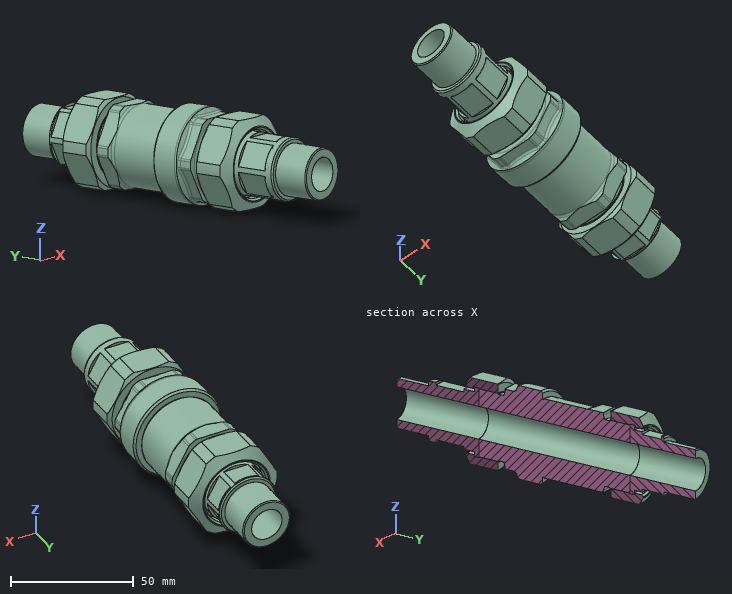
import cadquery as cq
import math


LENGTH = 146.5
END = LENGTH / 2
BORE_D = 14.0

TAIL_D = 22.0
TAIL_END_D = 21.0
TAIL_END_CHAMFER = 0.5
TAIL_LENGTH = 15.5
SHANK_D = 26.5
SHANK_AF = 24.0
SHANK_FACE_D = 25.0
SHANK_CHAMFER = 0.6
REAR_FLATS = (1.3, 10.7)
FRONT_FLATS = (3.8, 17.5)
FLANGE_T = 2.2

NUT_D = 41.3
NUT_AF = 38.0
NUT_LENGTH = 16.1
NUT_FACE_D = 31.4
NUT_FACE_TAPER = 3.1
NUT_BACK_D = 37.5
NUT_BACK_TAPER = 1.0
NUT_HOLE_D = 28.5
NUT_MOUTH_D = 30.3
NUT_LIP = 4.4
REAR_NUT_FACE = END - 25.6
FRONT_NUT_FACE = END - 33.7

THREAD_D = 30.0
THREAD_EXPOSED = 0.3
NECK_D = 29.3
HEX_D = 38.4
HEX_AF = 35.0
HEX_EDGE_R = 2.0
FACE_CONE_D = 33.1
FACE_CONE_LENGTH = 0.6
REAR_HEX_FACE = 28.1
FRONT_HEX_FACE = -20.2
REAR_HEX_TAPER_START = 22.4
REAR_HEX_TAPER_END = 21.5
REAR_HEX_TAPER_D = 36.0
REAR_HEX_END = 20.4
BARREL_D = 34.9
BARREL_CHAMFER_WIDTH = 0.5
BARREL_CHAMFER_LENGTH = 0.7
COLLAR_BACK = -1.6
COLLAR_FRONT = -13.8
COLLAR_D = 41.0
COLLAR_CROWN = 0.1
COLLAR_EDGE = 0.9
COLLAR_FRONT_D = 40.7
COLLAR_TAPER_D = 33.7
COLLAR_TAPER_END = -15.5
COLLAR_ROOT_R = 1.2
ROOT_CLEARANCE = 0.1


def turned(points):
    """Solid of revolution about Y from (diameter, station) points, closed on the axis."""
    first_station = points[0][1]
    last_station = points[-1][1]
    profile = cq.Workplane("XY").moveTo(0, first_station)
    for diameter, station in points:
        profile = profile.lineTo(diameter / 2, station)
    return profile.lineTo(0, last_station).close().revolve(360, (0, 0, 0), (0, 1, 0))


def cylinder(diameter, start, end):
    """Round bar along Y."""
    return turned([(diameter, start), (diameter, end)])


def hexagon(across_flats, start, end):
    """Hexagonal bar along Y with flats facing +Z and -Z."""
    corner_d = across_flats / math.cos(math.pi / 6)
    low = min(start, end)
    plane = cq.Plane(origin=(0, low, 0), xDir=(1, 0, 0), normal=(0, 1, 0))
    return cq.Workplane(plane).polygon(6, corner_d).extrude(abs(end - start))


def facing_front(body):
    """Turn a body made for the +Y end round to the -Y end."""
    return body.rotate((0, 0, 0), (0, 0, 1), 180)


def union_nut(face):
    """Union nut at the +Y end with its outer face at the given station."""
    back = face - NUT_LENGTH
    blank = turned([
        (NUT_BACK_D, back),
        (NUT_D, back + NUT_BACK_TAPER),
        (NUT_D, face - NUT_FACE_TAPER),
        (NUT_FACE_D, face),
    ])
    mouth_depth = (NUT_MOUTH_D - NUT_HOLE_D) / 2
    hole = turned([
        (THREAD_D, back),
        (THREAD_D, face - NUT_LIP),
        (NUT_HOLE_D, face - NUT_LIP),
        (NUT_HOLE_D, face - mouth_depth),
        (NUT_MOUTH_D, face),
    ])
    return blank.intersect(hexagon(NUT_AF, back, face)).cut(hole)


def tail_piece(nut_face, flats):
    """Tail piece at the +Y end, held behind the lip of the nut at the given station."""
    shank_face = END - TAIL_LENGTH
    flange_front = nut_face - NUT_LIP
    flange_back = flange_front - FLANGE_T
    body = turned([
        (THREAD_D, flange_back),
        (THREAD_D, flange_front),
        (SHANK_D, flange_front),
        (SHANK_D, shank_face - SHANK_CHAMFER),
        (SHANK_FACE_D, shank_face),
        (TAIL_D, shank_face),
        (TAIL_D, END - TAIL_END_CHAMFER),
        (TAIL_END_D, END),
    ])
    flats_start, flats_end = (shank_face - offset for offset in flats)
    ring = cylinder(SHANK_D, flats_end, flats_start)
    body = body.cut(ring.cut(hexagon(SHANK_AF, flats_end, flats_start)))
    return body.cut(cylinder(BORE_D, flange_back, END))


def wrench_hex(start, end):
    """Hexagonal bar with turned corners and rounded edges beside each flat."""
    bar = hexagon(HEX_AF, start, end).intersect(cylinder(HEX_D, start, end))
    return bar.edges("|Y").fillet(HEX_EDGE_R)


def collar():
    """Crowned collar with chamfered edges that tapers into the front hexagon."""
    edge_d = COLLAR_D - 2 * COLLAR_EDGE
    middle = (COLLAR_BACK + COLLAR_FRONT) / 2
    return (
        cq.Workplane("XY")
        .moveTo(0, COLLAR_BACK)
        .lineTo(edge_d / 2, COLLAR_BACK)
        .lineTo(COLLAR_D / 2, COLLAR_BACK - COLLAR_EDGE)
        .threePointArc((COLLAR_D / 2 + COLLAR_CROWN, middle), (COLLAR_D / 2, COLLAR_FRONT + COLLAR_EDGE))
        .lineTo(COLLAR_FRONT_D / 2, COLLAR_FRONT)
        .lineTo(COLLAR_TAPER_D / 2, COLLAR_TAPER_END)
        .lineTo(0, COLLAR_TAPER_END)
        .close()
        .revolve(360, (0, 0, 0), (0, 1, 0))
    )


def collar_with_hex():
    """Collar and front hexagon, with a fillet all round where they meet."""
    joined = collar().union(wrench_hex(FRONT_HEX_FACE, COLLAR_FRONT))
    reach = COLLAR_D
    root = cq.selectors.BoxSelector(
        (-reach, COLLAR_TAPER_END, -reach),
        (reach, COLLAR_FRONT - ROOT_CLEARANCE, reach),
    )
    return joined.edges(root).fillet(COLLAR_ROOT_R)


def rear_hex_envelope():
    """Turned envelope of the rear hexagon, tapering and blending into the barrel."""
    return (
        cq.Workplane("XY")
        .moveTo(0, REAR_HEX_FACE)
        .lineTo(HEX_D / 2, REAR_HEX_FACE)
        .lineTo(HEX_D / 2, REAR_HEX_TAPER_START)
        .lineTo(REAR_HEX_TAPER_D / 2, REAR_HEX_TAPER_END)
        .tangentArcPoint((BARREL_D / 2, REAR_HEX_END), relative=False)
        .lineTo(0, REAR_HEX_END)
        .close()
        .revolve(360, (0, 0, 0), (0, 1, 0))
    )


def housing():
    """Barrel with its collar, two hexagons and threaded necks, bored through."""
    rear_nut_back = REAR_NUT_FACE - NUT_LENGTH
    front_nut_back = NUT_LENGTH - FRONT_NUT_FACE
    rear_end = REAR_NUT_FACE - NUT_LIP - FLANGE_T
    front_end = NUT_LIP + FLANGE_T - FRONT_NUT_FACE
    rear_hex = wrench_hex(REAR_HEX_END, REAR_HEX_FACE).intersect(rear_hex_envelope())
    core = turned([
        (THREAD_D, front_end),
        (THREAD_D, front_nut_back + THREAD_EXPOSED),
        (NECK_D, front_nut_back + THREAD_EXPOSED),
        (NECK_D, FRONT_HEX_FACE - FACE_CONE_LENGTH),
        (FACE_CONE_D, FRONT_HEX_FACE),
        (FACE_CONE_D, COLLAR_BACK),
        (BARREL_D - 2 * BARREL_CHAMFER_WIDTH, COLLAR_BACK),
        (BARREL_D, COLLAR_BACK + BARREL_CHAMFER_LENGTH),
        (BARREL_D, REAR_HEX_END),
        (FACE_CONE_D, REAR_HEX_END),
        (FACE_CONE_D, REAR_HEX_FACE),
        (NECK_D, REAR_HEX_FACE + FACE_CONE_LENGTH),
        (NECK_D, rear_nut_back - THREAD_EXPOSED),
        (THREAD_D, rear_nut_back - THREAD_EXPOSED),
        (THREAD_D, rear_end),
    ])
    body = core.union(rear_hex).union(collar_with_hex())
    return body.cut(cylinder(BORE_D, front_end, rear_end))


valve_housing = housing()
nuts = []
tail_pieces = []
for nut_face, flats, at_front in [
    (REAR_NUT_FACE, REAR_FLATS, False),
    (FRONT_NUT_FACE, FRONT_FLATS, True),
]:
    nut = union_nut(nut_face)
    tail = tail_piece(nut_face, flats)
    if at_front:
        nut = facing_front(nut)
        tail = facing_front(tail)
    nuts.append(nut.val())
    tail_pieces.append(tail.val())

result = cq.Compound.makeCompound([valve_housing.val(), *nuts, *tail_pieces])